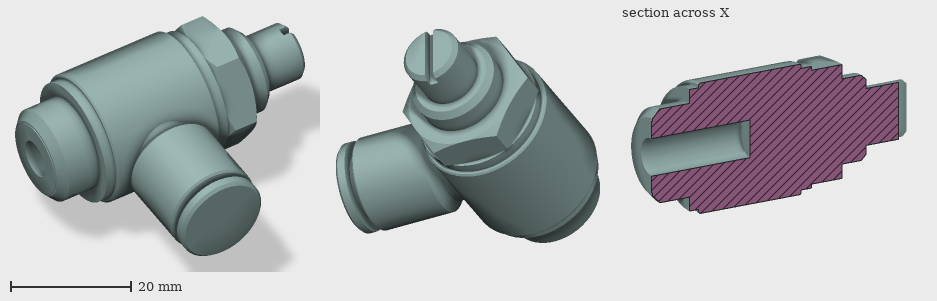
import cadquery as cq
import math

core_protrusion = 0.15
thread_chamfer_end = 1.6
front_washer_start = 7.4
body_start = 9.15
body_end = 29.1
hex_start = 31.05
hex_end = 37.0
collar_end = 41.65
total_length = 49.9

core_diameter = 12.65
thread_tip_diameter = 13.45
thread_diameter = 16.55
washer_diameter = 21.45
body_diameter = 23.0
collar_diameter = 15.05
screw_diameter = 10.1
bore_diameter = 6.55

body_chamfer = 0.3
collar_chamfer = 1.0
screw_chamfer = 0.75
hex_across_flats = 20.05
hex_chamfer_angle = 30.0

slot_width = 1.5
slot_depth = 2.0

branch_y = (body_start + body_end) / 2
branch_cone_start = 11.05
branch_cone_end = 12.55
branch_barrel_end = 25.5
branch_flange_start = 26.8
branch_end = 28.65
branch_neck_diameter = 13.05
branch_diameter = 16.05
branch_groove_diameter = 11.55
branch_flange_diameter = 15.55
barrel_chamfer = 0.35
flange_chamfer = 0.5


def cylinder_y(diameter, start, end):
    """Cylinder on the main axis between two Y stations."""
    return cq.Workplane("XZ", origin=(0, start, 0)).circle(diameter / 2).extrude(start - end)


def cylinder_x(diameter, start, end):
    """Cylinder on the branch axis between two X stations."""
    return cq.Workplane("YZ", origin=(start, branch_y, 0)).circle(diameter / 2).extrude(end - start)


def make_threaded_end():
    """Stud with a tapered tip and a slightly protruding core."""
    tip_radius = thread_tip_diameter / 2
    stud_radius = thread_diameter / 2
    profile = [
        (0, core_protrusion),
        (tip_radius, core_protrusion),
        (stud_radius, thread_chamfer_end),
        (stud_radius, front_washer_start),
        (0, front_washer_start),
    ]
    stud = cq.Workplane("XY").polyline(profile).close().revolve(360, (0, 0), (0, 1))
    return stud.union(cylinder_y(core_diameter, 0, front_washer_start))


def make_body():
    """Main barrel between the two sealing washers."""
    barrel = cylinder_y(body_diameter, body_start, body_end).faces("<Y or >Y").chamfer(body_chamfer)
    return barrel.union(cylinder_y(washer_diameter, front_washer_start, hex_start))


def make_nut():
    """Hexagon with corners on X, both ends trimmed by a cone."""
    corner_diameter = hex_across_flats / math.cos(math.radians(30))
    flat_radius = hex_across_flats / 2
    corner_radius = corner_diameter / 2
    drop = (corner_radius - flat_radius) * math.tan(math.radians(hex_chamfer_angle))
    prism = cq.Workplane("XZ", origin=(0, hex_start, 0)).polygon(6, corner_diameter)
    prism = prism.extrude(hex_start - hex_end)
    profile = [
        (0, hex_start),
        (flat_radius, hex_start),
        (corner_radius, hex_start + drop),
        (corner_radius, hex_end - drop),
        (flat_radius, hex_end),
        (0, hex_end),
    ]
    envelope = cq.Workplane("XY").polyline(profile).close().revolve(360, (0, 0), (0, 1))
    return prism.intersect(envelope)


def make_screw():
    """Chamfered collar and slotted adjusting screw."""
    collar = cylinder_y(collar_diameter, hex_end, collar_end).faces(">Y").chamfer(collar_chamfer)
    screw = cylinder_y(screw_diameter, collar_end, total_length).faces(">Y").chamfer(screw_chamfer)
    slot = cq.Workplane("XY").box(slot_width, 2 * slot_depth, screw_diameter)
    return collar.union(screw.cut(slot.translate((0, total_length, 0))))


def make_branch():
    """Side tube connector: neck, coned barrel, groove and release flange."""
    neck = cylinder_x(branch_neck_diameter, 0, branch_cone_end)
    cone_height = (branch_diameter - branch_neck_diameter) / 2
    barrel = cylinder_x(branch_diameter, branch_cone_start, branch_barrel_end)
    barrel = barrel.faces("<X").chamfer(branch_cone_end - branch_cone_start, cone_height)
    barrel = barrel.faces(">X").chamfer(barrel_chamfer)
    groove = cylinder_x(branch_groove_diameter, branch_cone_end, branch_end)
    flange = cylinder_x(branch_flange_diameter, branch_flange_start, branch_end)
    flange = flange.faces(">X").chamfer(flange_chamfer)
    return neck.union(barrel).union(groove).union(flange)


result = make_threaded_end()
for section in (make_body(), make_nut(), make_screw(), make_branch()):
    result = result.union(section)

result = result.cut(cylinder_y(bore_diameter, 0, branch_y))